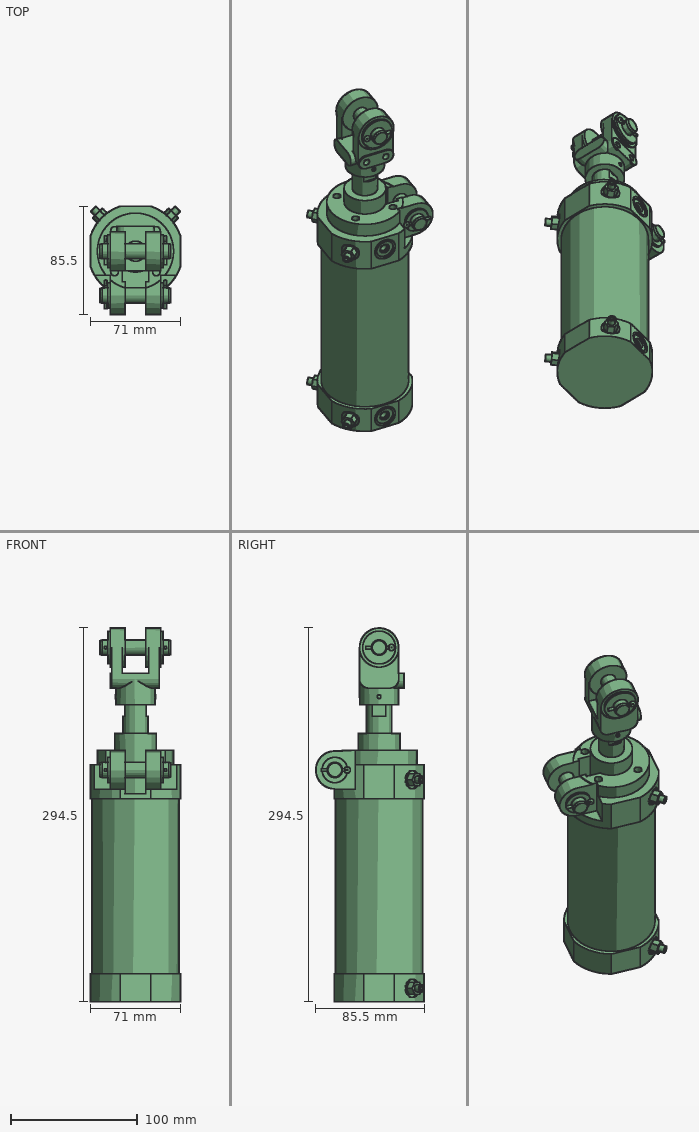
import cadquery as cq
import math

base_top = 22.0
head_bottom = 160.0
head_shoulder = 186.7
head_top = 198.2
gland_top = 211.5
rod_flat_bottom = 225.0
knuckle_bottom = 233.8
clevis_bottom = 247.0

tube_diameter = 69.0
cover_width = 71.0
cover_flat_width = 24.1
cover_diameter = math.hypot(cover_width, cover_flat_width)
head_ring_diameter = 60.0
gland_diameter = 33.0

pin_diameter = 12.0
pin_length = 56
pin_chamfer_length = 1.8
pin_chamfer_height = 0.5
eye_inner_x = 8.1
eye_outer_x = 20.0
pad_outer_x = 21.8
head_pad_diameter = 20.0
knuckle_pad_diameter = 26.0
cotter_x = 23.4
cotter_wire_diameter = 2.3
cotter_loop_diameter = 5.0
cotter_loop_offset = 9.7
cotter_tail_reach = 10.5

total_depth = 85.5
lug_radius = 15.0
lug_pin_y = cover_width / 2 - total_depth + lug_radius
lug_pin_z = 182.5
lug_root_y = -18.8
lug_bottom = lug_pin_z - lug_radius
lug_slot_floor = 164.0
lug_slot_root_x = 10.3
lug_slot_step_y = -24.1

port_spotface_diameter = 18.0
port_spotface_depth = 0.3
port_recess_diameter = 14.5
port_recess_depth = 1.0
port_hole_diameter = 8.0
port_hole_depth = 3
port_bore_diameter = 6
port_bore_depth = 8.8
drill_tip_angle = 118
base_port_z = 10.5
head_port_z = 175.0
valve_angles = (45, 135)
valve_hex_flats = 9.5
valve_hex_end = 42.5
valve_stem_diameter = 6
valve_stem_end = 47
valve_bore_diameter = 3
valve_bore_depth = 3
valve_seat = 36.0
valve_seat_diameter = 14.5
cover_bolt_circle = 46.5
cover_bolt_count = 4
cover_bolt_start_angle = 45
cover_bolt_diameter = 6
cover_bolt_depth = 8.8

rod_diameter = 20.0
rod_flats = 17.0
rod_thread_diameter = 16.0

knuckle_diameter = 31.0
total_height = 294.5
knuckle_pin_z = total_height - knuckle_diameter / 2
arm_inner_x = 10.3
arm_outer_x = 18.8
knuckle_corner_radius = 7.0
plate_height = 11.8
clevis_floor = clevis_bottom + plate_height
plate_z = clevis_bottom + plate_height / 2
side_plate_length = 30.3
back_plate_length = 29.5
back_plate_y = 19.7
plate_hole_diameter = 5.0
plate_hole_spacing = 17.0
plate_hole_depth = 6
spring_pin_diameter = 3
spring_pin_length = 31.8
spring_pin_z = 240.3


def disc(diameter, z_low, z_high):
    """Upright cylinder on the main axis."""
    return cq.Workplane("XY").workplane(offset=z_low).circle(diameter / 2).extrude(z_high - z_low)


def block(x_range, y_range, z_range):
    """Axis-aligned box between the given limits."""
    (x0, x1), (y0, y1), (z0, z1) = x_range, y_range, z_range
    return cq.Workplane("XY").box(x1 - x0, y1 - y0, z1 - z0, centered=False).translate((x0, y0, z0))


def cross_cylinder(diameter, x_low, x_high, y, z):
    """Cylinder whose axis runs along X."""
    plane = cq.Plane(origin=(x_low, y, z), xDir=(0, 1, 0), normal=(1, 0, 0))
    return cq.Workplane(plane).circle(diameter / 2).extrude(x_high - x_low)


def both_sides(shape):
    """The shape together with its mirror image across the YZ plane."""
    return shape.union(shape.mirror("YZ"))


def add_bleed_valve(cover, angle, z):
    """Cover with a round flat seat that carries a hexagon and a bored stem pointing outward."""
    radians = math.radians(angle)
    outward = cq.Vector(math.cos(radians), math.sin(radians), 0)
    sideways = cq.Vector(-math.sin(radians), math.cos(radians), 0)
    plane = cq.Plane(origin=outward * valve_seat + cq.Vector(0, 0, z), xDir=sideways, normal=outward)
    seat = cq.Workplane(plane).circle(valve_seat_diameter / 2).extrude(valve_stem_end - valve_seat)
    hex_corners = valve_hex_flats / math.cos(math.pi / 6)
    hexagon = cq.Workplane(plane).polygon(6, hex_corners).extrude(valve_hex_end - valve_seat)
    stem = cq.Workplane(plane).circle(valve_stem_diameter / 2).extrude(valve_stem_end - valve_seat)
    bore_start = valve_stem_end - valve_seat - valve_bore_depth
    bore = cq.Workplane(plane).workplane(offset=bore_start).circle(valve_bore_diameter / 2)
    return cover.cut(seat).union(hexagon).union(stem).cut(bore.extrude(valve_bore_depth))


def port_cutter(z):
    """Stepped port with a conical drill tip, entering the -X flat."""
    tip_depth = port_bore_depth + port_bore_diameter / 2 / math.tan(math.radians(drill_tip_angle / 2))
    half_profile = [
        (0, 0),
        (0, port_spotface_diameter / 2),
        (port_spotface_depth, port_spotface_diameter / 2),
        (port_spotface_depth, port_recess_diameter / 2),
        (port_recess_depth, port_recess_diameter / 2),
        (port_recess_depth, port_hole_diameter / 2),
        (port_hole_depth, port_hole_diameter / 2),
        (port_hole_depth, port_bore_diameter / 2),
        (port_bore_depth, port_bore_diameter / 2),
        (tip_depth, 0),
    ]
    cutter = cq.Workplane("XZ").polyline(half_profile).close().revolve(360, (0, 0, 0), (1, 0, 0))
    return cutter.translate((-cover_width / 2, 0, z))


def cover_blank(z_low, z_high, port_z):
    """Round cover with four flats, a port and two bleed valves."""
    flats = cq.Workplane("XY").rect(cover_width, cover_width).extrude(z_high)
    cover = disc(cover_diameter, z_low, z_high).intersect(flats)
    for angle in valve_angles:
        cover = add_bleed_valve(cover, angle, port_z)
    return cover.cut(port_cutter(port_z))


def make_head_cover():
    """Top cover with the gland and the two lugs for the fixed pin."""
    cover = cover_blank(head_bottom, head_shoulder, head_port_z)
    cover = cover.union(disc(head_ring_diameter, head_shoulder, head_top))

    reach = cover_diameter
    seat = block((eye_outer_x, reach), (-reach, lug_root_y), (lug_bottom, head_top))
    cover = cover.cut(both_sides(seat))

    lug_top = lug_pin_z + lug_radius
    lug = block((eye_inner_x, eye_outer_x), (lug_pin_y, lug_root_y), (lug_bottom, lug_top))
    lug = lug.union(cross_cylinder(2 * lug_radius, eye_inner_x, eye_outer_x, lug_pin_y, lug_pin_z))
    lug = lug.union(cross_cylinder(head_pad_diameter, eye_inner_x, pad_outer_x, lug_pin_y, lug_pin_z))
    cover = cover.union(both_sides(lug))

    slot = block((-eye_inner_x, eye_inner_x), (-reach, 0), (lug_slot_floor, head_top))
    slot_root = block((-lug_slot_root_x, lug_slot_root_x), (lug_slot_step_y, 0), (lug_slot_floor, head_top))
    cover = cover.cut(slot.union(slot_root))
    cover = cover.union(disc(gland_diameter, head_bottom, gland_top))

    bolt_holes = cq.Workplane("XY").workplane(offset=head_top - cover_bolt_depth)
    bolt_holes = bolt_holes.polarArray(cover_bolt_circle / 2, cover_bolt_start_angle, 360, cover_bolt_count)
    cover = cover.cut(bolt_holes.circle(cover_bolt_diameter / 2).extrude(cover_bolt_depth))

    cover = cover.cut(disc(rod_diameter, head_bottom, gland_top))
    return cover.cut(cross_cylinder(pin_diameter, -pad_outer_x, pad_outer_x, lug_pin_y, lug_pin_z))


def make_rod():
    """Piston rod with wrench flats and a threaded end that fills the knuckle."""
    rod = disc(rod_diameter, head_bottom, knuckle_bottom)
    flat_cut = block(
        (rod_flats / 2, rod_diameter), (-rod_diameter, rod_diameter), (rod_flat_bottom, knuckle_bottom)
    )
    rod = rod.cut(both_sides(flat_cut))
    rod = rod.union(disc(rod_thread_diameter, knuckle_bottom, clevis_floor))
    return rod.cut(make_spring_pin())


def make_spring_pin():
    """Cross pin that locks the knuckle on the rod."""
    return cross_cylinder(spring_pin_diameter, -spring_pin_length / 2, spring_pin_length / 2, 0, spring_pin_z)


def make_knuckle():
    """Y-shaped knuckle with two eyes, a round neck and two raised plates."""
    half_width = knuckle_diameter / 2
    body = block((-arm_outer_x, arm_outer_x), (-half_width, half_width), (clevis_bottom, knuckle_pin_z))
    body = body.edges("|X and <Z").fillet(knuckle_corner_radius)
    body = body.union(disc(knuckle_diameter, knuckle_bottom, clevis_floor))

    side_plane = cq.Plane(origin=(-eye_outer_x, 0, plate_z), xDir=(0, 1, 0), normal=(1, 0, 0))
    side_plate = cq.Workplane(side_plane).slot2D(side_plate_length, plate_height)
    body = body.union(side_plate.extrude(eye_outer_x - arm_outer_x))
    holes = cq.Workplane(side_plane).rarray(plate_hole_spacing, 3, 2, 1).circle(plate_hole_diameter / 2)
    body = body.cut(holes.extrude(plate_hole_depth))

    back_plane = cq.Plane(origin=(0, back_plate_y, plate_z), xDir=(1, 0, 0), normal=(0, -1, 0))
    back_plate = cq.Workplane(back_plane).slot2D(back_plate_length, plate_height)
    body = body.union(back_plate.extrude(back_plate_y))

    gap_y = (-half_width, half_width)
    body = body.cut(block((-arm_inner_x, arm_inner_x), gap_y, (clevis_floor, knuckle_pin_z)))

    eye = cross_cylinder(knuckle_diameter, eye_inner_x, eye_outer_x, 0, knuckle_pin_z)
    eye = eye.union(cross_cylinder(knuckle_pad_diameter, eye_inner_x, pad_outer_x, 0, knuckle_pin_z))
    body = body.union(both_sides(eye))

    body = body.cut(disc(rod_thread_diameter, knuckle_bottom, clevis_floor))
    body = body.cut(make_spring_pin())
    return body.cut(cross_cylinder(pin_diameter, -pad_outer_x, pad_outer_x, 0, knuckle_pin_z))


def make_cotter(x):
    """Split pin along Y through a pin that lies on the X axis, with its loop on the +Y side."""
    loop_ring_radius = (cotter_loop_diameter - cotter_wire_diameter) / 2
    wire_length = cotter_tail_reach + cotter_loop_offset - loop_ring_radius
    wire = cq.Workplane("XZ", origin=(x, -cotter_tail_reach, 0)).circle(cotter_wire_diameter / 2)
    wire = wire.extrude(-wire_length)
    loop = cq.Solid.makeTorus(
        loop_ring_radius,
        cotter_wire_diameter / 2,
        cq.Vector(x, cotter_loop_offset, 0),
        cq.Vector(1, 0, 0),
    )
    return wire.union(cq.Workplane(loop))


def make_clamp_pin(y, z):
    """Clamp pin along X with chamfered ends and a cotter at each end."""
    pin = cross_cylinder(pin_diameter, -pin_length / 2, pin_length / 2, 0, 0)
    pin = pin.faces("<X").chamfer(pin_chamfer_length, pin_chamfer_height)
    pin = pin.faces(">X").chamfer(pin_chamfer_length, pin_chamfer_height)
    for x in (-cotter_x, cotter_x):
        pin = pin.union(make_cotter(x))
    return pin.translate((0, y, z))


base_cover = cover_blank(0, base_top, base_port_z)
tube = disc(tube_diameter, base_top, head_bottom)
head_cover = make_head_cover()
rod = make_rod()
knuckle = make_knuckle()
spring_pin = make_spring_pin()
clamp_pins = [make_clamp_pin(y, z) for y, z in ((lug_pin_y, lug_pin_z), (0, knuckle_pin_z))]

result = cq.Compound.makeCompound(
    [
        base_cover.val(),
        tube.val(),
        head_cover.val(),
        rod.val(),
        knuckle.val(),
        spring_pin.val(),
        *[pin.val() for pin in clamp_pins],
    ]
)